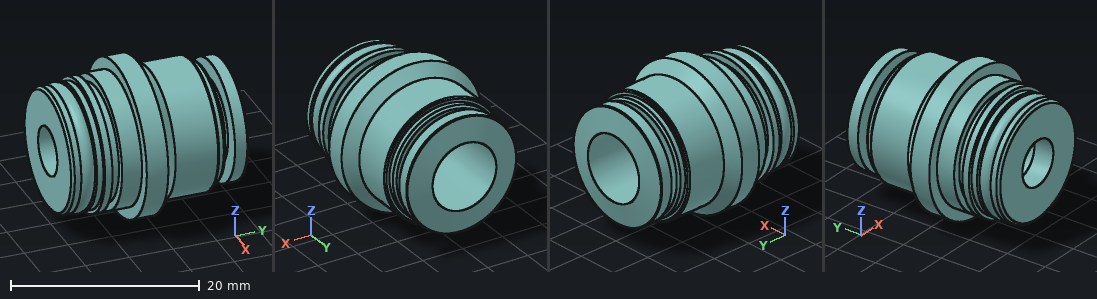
import cadquery as cq

length = 20.67

bore_diameter = 5.5
tube_socket_diameter = 8.0
seal_land_diameter = 14.0
ring_outer_diameter = 14.28
body_diameter = 14.95
clip_groove_diameter = 13.15
flange_diameter = 17.7
collar_diameter = 13.8
neck_diameter = 9.4
cap_face_diameter = 8.4

ring_start = 1.05
ring_end = 2.85
seal_land_end = 3.58
clip_groove_start = 4.42
clip_groove_end = 5.52
flange_start = 7.8
flange_end = 10.25
cone_end = 11.62
body_end = 16.68
collar_end = 17.65
cap_start = 18.65
cap_rim_end = 20.05
socket_floor = 2.5

end_chamfer = 0.3
body_chamfer = 0.19
collar_chamfer = 0.29
cap_edge_width = 0.06
cap_edge_length = 0.1
neck_flare_width = 0.19
neck_flare_length = 0.25

ring_section_radius = (ring_end - ring_start) / 2
ring_middle = (ring_start + ring_end) / 2
ring_outer_radius = ring_outer_diameter / 2
ring_centre_radius = ring_outer_radius - ring_section_radius

seal_land_radius = seal_land_diameter / 2
body_radius = body_diameter / 2
clip_groove_radius = clip_groove_diameter / 2
flange_radius = flange_diameter / 2
collar_radius = collar_diameter / 2
neck_radius = neck_diameter / 2


def turned_body():
    """Revolve the outer outline, with the O-ring joined to the body."""
    outline = (
        cq.Workplane("XY")
        .lineTo(seal_land_radius - end_chamfer, 0)
        .lineTo(seal_land_radius, end_chamfer)
        .lineTo(seal_land_radius, ring_start)
        .lineTo(ring_centre_radius, ring_start)
        .threePointArc((ring_outer_radius, ring_middle), (ring_centre_radius, ring_end))
        .lineTo(seal_land_radius, ring_end)
        .lineTo(seal_land_radius, seal_land_end)
        .lineTo(body_radius, seal_land_end)
        .lineTo(body_radius, clip_groove_start)
        .lineTo(clip_groove_radius, clip_groove_start)
        .lineTo(clip_groove_radius, clip_groove_end)
        .lineTo(body_radius, clip_groove_end)
        .lineTo(body_radius, flange_start)
        .lineTo(flange_radius, flange_start)
        .lineTo(flange_radius, flange_end)
        .lineTo(body_radius, cone_end)
        .lineTo(body_radius, body_end - body_chamfer)
        .lineTo(body_radius - body_chamfer, body_end)
        .lineTo(collar_radius, body_end)
        .lineTo(collar_radius, collar_end - collar_chamfer)
        .lineTo(collar_radius - collar_chamfer, collar_end)
        .lineTo(neck_radius, collar_end)
        .lineTo(neck_radius, cap_start - neck_flare_length)
        .lineTo(neck_radius + neck_flare_width, cap_start)
        .lineTo(collar_radius, cap_start)
        .lineTo(collar_radius, cap_rim_end)
        .lineTo(collar_radius - cap_edge_width, cap_rim_end + cap_edge_length)
        .lineTo(cap_face_diameter / 2, length)
        .lineTo(0, length)
        .close()
    )
    return outline.revolve(360, (0, 0), (0, 1))


def axial_hole(diameter, start):
    """Cylinder from the given position to the cap face."""
    return (
        cq.Workplane("XZ", origin=(0, start, 0))
        .circle(diameter / 2)
        .extrude(start - length)
    )


through_bore = axial_hole(bore_diameter, 0)
tube_socket = axial_hole(tube_socket_diameter, socket_floor)

result = turned_body().cut(through_bore).cut(tube_socket)